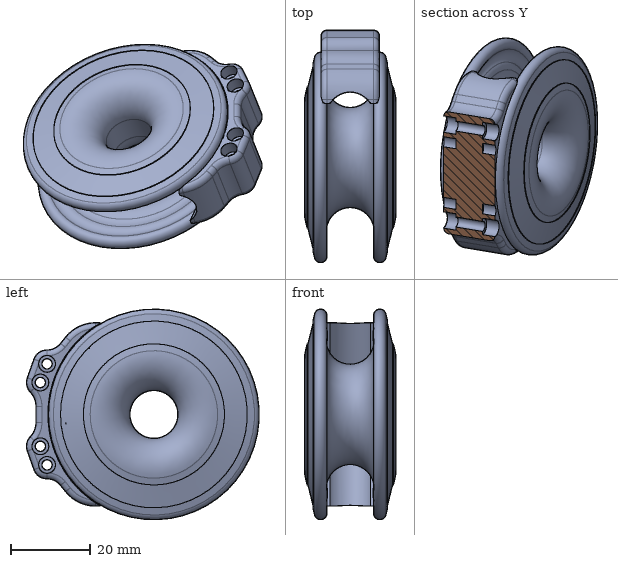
import cadquery as cq
import math

OVERALL_LENGTH = 58.6

WHEEL_RADIUS = 53.0 / 2
WHEEL_WIDTH = 23.0
ROPE_RADIUS = 12.0 / 2
GROOVE_CENTRE_RADIUS = 18.6
BORE_RADIUS = ROPE_RADIUS
FLARE_ROUND = 8.1
RIM_ROUND = 1.6
RIM_CENTRE_X = 7.45
PANEL_INNER_RADIUS = 17.75
PANEL_OUTER_RADIUS = 23.5
PANEL_DEPTH = 0.2
LIP_ROUND = 3.4
RECESS_ROUND = 2.65

BRIDGE_WIDTH = 14.7
BRIDGE_GAP = 0.2
BRIDGE_END_Y = 13.6
BRIDGE_HALF_HEIGHT = 23.1
EDGE_ROUND = 1.5
ROPE_HOLE_Y = 10.35
END_SLANT = 0.41
HOLE_DIAMETER = 2.5
COUNTERBORE_DIAMETER = 4.2
COUNTERBORE_DEPTH = 3.5
EAR_ROUND = 3.5
OUTER_HOLE = (26.9, 12.7)
INNER_HOLE = (OVERALL_LENGTH - WHEEL_RADIUS - EAR_ROUND, 8.0)
WAIST_Y = 29.7
WAIST_HALF_LENGTH = 2.05
NECK_ROUND = 4.35
SHOULDER_ROUND = 9.7
SHOULDER_CENTRE_Y = 14.65


def toward(start, end, distance):
    """Point at the given distance from start on the line to end."""
    length = math.dist(start, end)
    return tuple(s + (e - s) * distance / length for s, e in zip(start, end))


def polar(centre, radius, angle):
    return (centre[0] + radius * math.cos(angle), centre[1] + radius * math.sin(angle))


def heading(start, end):
    return math.atan2(end[1] - start[1], end[0] - start[0])


def mirrored(point):
    return (-point[0], point[1])


def arc_middle(centre, start, end):
    """Middle point of the arc of less than half a turn between two points around a centre."""
    chord_middle = tuple((s + e) / 2 for s, e in zip(start, end))
    return toward(centre, chord_middle, math.dist(centre, start))


def groove_edge(gap):
    return (ROPE_RADIUS - gap, GROOVE_CENTRE_RADIUS)


def flange_face_arcs(gap, rim_end):
    """Arcs from the rope groove round the rim to rim_end, as (middle, end), moved off the wheel by gap."""
    rim = (RIM_CENTRE_X, WHEEL_RADIUS - RIM_ROUND)
    lip = (ROPE_RADIUS + LIP_ROUND, GROOVE_CENTRE_RADIUS)
    lip_reach = LIP_ROUND + RECESS_ROUND
    rim_reach = RIM_ROUND + RECESS_ROUND
    span = math.dist(lip, rim)
    opening = math.acos((lip_reach**2 + span**2 - rim_reach**2) / (2 * lip_reach * span))
    recess = polar(lip, lip_reach, heading(lip, rim) + opening)

    groove_end = groove_edge(gap)
    lip_end = toward(lip, recess, LIP_ROUND + gap)
    recess_end = toward(rim, recess, RIM_ROUND + gap)
    rim_angle = (heading(rim, recess_end) % math.tau + heading(rim, rim_end)) / 2
    rim_middle = polar(rim, RIM_ROUND + gap, rim_angle)
    return [
        (arc_middle(lip, groove_end, lip_end), lip_end),
        (arc_middle(recess, lip_end, recess_end), recess_end),
        (rim_middle, rim_end),
    ]


def running_surface(gap, rim_end):
    """Open profile from the left rim through the rope groove to rim_end on the right rim."""
    arcs = flange_face_arcs(gap, rim_end)
    groove_end = groove_edge(gap)
    groove_bottom = (0, GROOVE_CENTRE_RADIUS - ROPE_RADIUS + gap)
    profile = cq.Workplane("XY").moveTo(*mirrored(arcs[-1][1]))
    left_ends = [arcs[1][1], arcs[0][1], groove_end]
    for (middle, _), end in zip(reversed(arcs), left_ends):
        profile = profile.threePointArc(mirrored(middle), mirrored(end))
    profile = profile.threePointArc(groove_bottom, groove_end)
    for middle, end in arcs:
        profile = profile.threePointArc(middle, end)
    return profile


def turned(profile):
    return profile.close().revolve(360, (0, 0, 0), (1, 0, 0))


def flank_point(cone_start, cone_end, radius):
    """Point of the conical flank at the given radius."""
    share = (radius - cone_start[1]) / (cone_end[1] - cone_start[1])
    return (cone_start[0] + share * (cone_end[0] - cone_start[0]), radius)


def sunk(point):
    return (point[0] - PANEL_DEPTH, point[1])


def make_wheel():
    rim = (RIM_CENTRE_X, WHEEL_RADIUS - RIM_ROUND)
    flare = (WHEEL_WIDTH / 2 - FLARE_ROUND, BORE_RADIUS + FLARE_ROUND)
    lean = math.acos((FLARE_ROUND - RIM_ROUND) / math.dist(flare, rim))
    normal = heading(flare, rim) - lean
    cone_start = polar(rim, RIM_ROUND, normal)
    cone_end = polar(flare, FLARE_ROUND, normal)
    bore_end = (flare[0], BORE_RADIUS)
    flare_middle = polar(flare, FLARE_ROUND, (normal - math.pi / 2) / 2)
    panel_outer = flank_point(cone_start, cone_end, PANEL_OUTER_RADIUS)
    panel_inner = flank_point(cone_start, cone_end, PANEL_INNER_RADIUS)
    panel = [panel_outer, sunk(panel_outer), sunk(panel_inner), panel_inner]

    profile = running_surface(0, cone_start)
    for point in [*panel, cone_end]:
        profile = profile.lineTo(*point)
    profile = profile.threePointArc(flare_middle, bore_end).lineTo(*mirrored(bore_end))
    profile = profile.threePointArc(mirrored(flare_middle), mirrored(cone_end))
    for point in reversed(panel):
        profile = profile.lineTo(*mirrored(point))
    return turned(profile)


def bridge_half_outline():
    """Upper half of the bridge: its outline above the plane z = 0."""
    dy = WAIST_Y - INNER_HOLE[0]
    dz = INNER_HOLE[1] - WAIST_HALF_LENGTH
    waist_round = (dy**2 + dz**2 - EAR_ROUND**2) / (2 * (EAR_ROUND - dy))
    waist = (WAIST_Y + waist_round, WAIST_HALF_LENGTH)
    waist_start = (WAIST_Y, WAIST_HALF_LENGTH)
    waist_end = toward(INNER_HOLE, waist, EAR_ROUND)

    ear_angle = heading(INNER_HOLE, OUTER_HOLE) - math.pi / 2
    inner_ear_end = polar(INNER_HOLE, EAR_ROUND, ear_angle)
    outer_ear_start = polar(OUTER_HOLE, EAR_ROUND, ear_angle)
    ear_top = (OUTER_HOLE[0], OUTER_HOLE[1] + EAR_ROUND)

    neck = (ear_top[0], ear_top[1] + NECK_ROUND)
    shoulder = (SHOULDER_CENTRE_Y, BRIDGE_HALF_HEIGHT - SHOULDER_ROUND)
    shoulder_end = (SHOULDER_CENTRE_Y, BRIDGE_HALF_HEIGHT)
    span = math.dist(shoulder, neck)
    normal = heading(shoulder, neck) + math.acos((SHOULDER_ROUND + NECK_ROUND) / span)
    shoulder_start = polar(shoulder, SHOULDER_ROUND, normal)
    neck_end = polar(neck, NECK_ROUND, normal + math.pi)

    return (
        cq.Workplane("YZ")
        .moveTo(BRIDGE_END_Y + END_SLANT * BRIDGE_HALF_HEIGHT, 0)
        .lineTo(WAIST_Y, 0)
        .lineTo(*waist_start)
        .threePointArc(arc_middle(waist, waist_start, waist_end), waist_end)
        .threePointArc(arc_middle(INNER_HOLE, waist_end, inner_ear_end), inner_ear_end)
        .lineTo(*outer_ear_start)
        .threePointArc(arc_middle(OUTER_HOLE, outer_ear_start, ear_top), ear_top)
        .threePointArc(arc_middle(neck, ear_top, neck_end), neck_end)
        .lineTo(*shoulder_start)
        .threePointArc(arc_middle(shoulder, shoulder_start, shoulder_end), shoulder_end)
        .lineTo(BRIDGE_END_Y, BRIDGE_HALF_HEIGHT)
        .close()
    )


def screw_hole_cutter(y, z):
    """Through hole along X with a counterbore at each side."""
    floor = BRIDGE_WIDTH / 2 - COUNTERBORE_DEPTH
    centre = cq.Workplane("YZ").center(y, z)
    cutter = centre.circle(HOLE_DIAMETER / 2).extrude(BRIDGE_WIDTH / 2, both=True)
    for side in (-1, 1):
        bore = centre.workplane(offset=side * floor).circle(COUNTERBORE_DIAMETER / 2)
        cutter = cutter.union(bore.extrude(side * COUNTERBORE_DEPTH))
    return cutter


def rope_hole_cutter():
    """Upper leg of the rope hole: it leans outward toward the middle, parallel to the inner end."""
    middle_y = ROPE_HOLE_Y + END_SLANT * BRIDGE_HALF_HEIGHT
    path = cq.Workplane("YZ").moveTo(ROPE_HOLE_Y, BRIDGE_HALF_HEIGHT).lineTo(middle_y, 0)
    top = cq.Workplane("XY", origin=(0, ROPE_HOLE_Y, BRIDGE_HALF_HEIGHT))
    return top.circle(ROPE_RADIUS).sweep(path)


def wheel_clearance():
    """Solid envelope of the wheel between its rim tops, grown by the running clearance."""
    rim_top = (RIM_CENTRE_X, WHEEL_RADIUS + BRIDGE_GAP)
    profile = running_surface(BRIDGE_GAP, rim_top)
    return turned(profile.lineTo(RIM_CENTRE_X, 0).lineTo(-RIM_CENTRE_X, 0))


def make_bridge():
    upper = bridge_half_outline().extrude(BRIDGE_WIDTH / 2, both=True)
    body = upper.union(upper.mirror("XY")).clean()

    end_middle_y = BRIDGE_END_Y + END_SLANT * BRIDGE_HALF_HEIGHT / 2
    inner_end = cq.selectors.BoxSelector(
        (-BRIDGE_WIDTH, end_middle_y - 0.6, -BRIDGE_HALF_HEIGHT),
        (BRIDGE_WIDTH, end_middle_y + 0.6, BRIDGE_HALF_HEIGHT),
    )
    side_edges = body.faces("<X or >X").edges()
    end_edges = side_edges.edges(inner_end).vals()
    rounded_edges = [edge for edge in side_edges.vals() if edge not in end_edges]
    body = side_edges.newObject(rounded_edges).fillet(EDGE_ROUND)

    upper_rope_hole = rope_hole_cutter()
    body = body.cut(upper_rope_hole).cut(upper_rope_hole.mirror("XY"))
    for y, z in (OUTER_HOLE, INNER_HOLE):
        for side in (-1, 1):
            body = body.cut(screw_hole_cutter(y, side * z))
    return body.cut(wheel_clearance())


wheel = make_wheel()
bridge = make_bridge()
result = cq.Compound.makeCompound([wheel.val(), *bridge.solids().vals()])